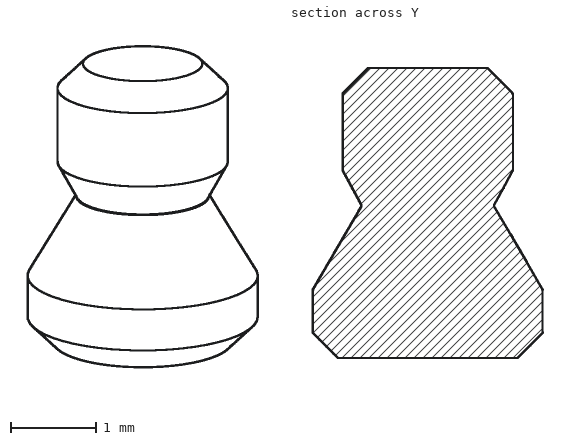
import cadquery as cq

height = 3.4
base_radius = 1.35
head_radius = 1.0
neck_radius = 0.78
end_chamfer = 0.3
base_top = 0.802
neck_bottom = 1.78
neck_length = 0.01
head_bottom = 2.2

neck_top = neck_bottom + neck_length

profile = [
    (0, 0),
    (base_radius - end_chamfer, 0),
    (base_radius, end_chamfer),
    (base_radius, base_top),
    (neck_radius, neck_bottom),
    (neck_radius, neck_top),
    (head_radius, head_bottom),
    (head_radius, height - end_chamfer),
    (head_radius - end_chamfer, height),
    (0, height),
]

result = cq.Workplane("XZ").polyline(profile).close().revolve(360, (0, 0, 0), (0, 1, 0))